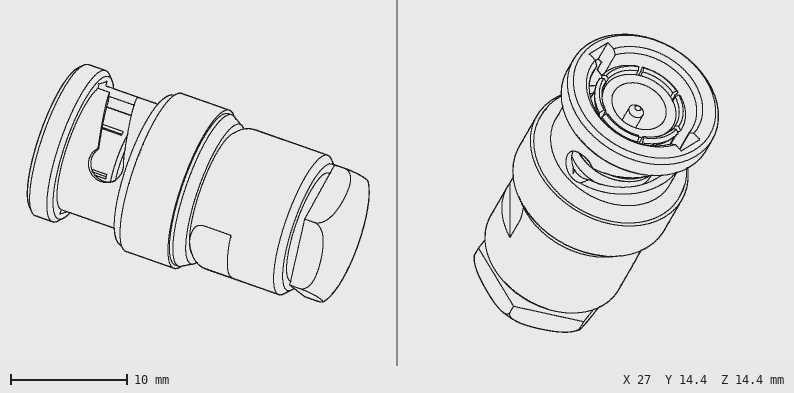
import cadquery as cq
import math


total_length = 26.95
knurl_diameter = 14.4
knurl_radius = knurl_diameter / 2

flange_length = 2.42
flange_radius = 6.9
flange_chamfer = 0.4
sleeve_radius = 5.65
bore_radius = 4.9
bore_chamfer = 0.4
bore_depth = 8.35

collar_front = 8.2
collar_rear = 14.82
collar_radius = flange_radius
collar_fillet = 0.43
collar_rear_radius = 6.35
knurl_front = 9.02
knurl_rear = 13.52
collar_cone_front = 13.85

body_start = 14.55
body_rear = 23.65
body_radius = 6.35
body_front_radius = 5.55
body_rear_chamfer = 0.6
shoulder_radius = 1.54
shoulder_end = 16.25
flat_distance = 5.6
flat_rear = 18.72

neck_radius = 4.93
nut_front = 24.6
nut_across_flats = 11.07
nut_fillet = 1.45

slot_count = 2
keyway_angle = 45.0
keyway_width = 2.37
keyway_reach = 5.93
ramp_slope = 0.26
ramp_front_at_middle = 4.3
ramp_rear_at_middle = 6.74
detent_x = 6.2
detent_radius = 1.55
detent_angle = 132.0

finger_front = 0.84
finger_lip_x = 1.15
finger_lip_end = 1.62
finger_tip_radius = 3.83
finger_lip_radius = 4.15
finger_radius = 4.0
finger_bore_radius = 3.53
finger_funnel_end = 1.02
finger_gap_end = 6.05
finger_count = 6
slit_width = 0.43
root_step_x = 6.55
root_radius = 4.01
groove_front = 6.95
groove_bottom = 7.27
groove_radius = 3.72
bead_end = 7.65
bead_radius = 3.88
bead_rounding = 0.55

insulator_front = 1.4
insulator_radius = 3.37
insulator_bore_radius = 2.48
insulator_bore_end = 8.08
pin_front = 1.7
pin_radius = 0.67
pin_tip_radius = 0.27
pin_cone_end = 2.15


def turned(points):
    """Revolve a closed (x, radius) outline about the X axis."""
    outline = cq.Workplane("XY").polyline(points).close()
    return outline.revolve(360, (0, 0, 0), (1, 0, 0))


def cylinder(x_start, x_end, radius):
    return cq.Workplane("YZ", origin=(x_start, 0, 0)).circle(radius).extrude(x_end - x_start)


def turn_about_axis(solid, angle):
    return solid.rotate((0, 0, 0), (1, 0, 0), angle)


def block(x_start, x_end, y_start, y_end, z_start, z_end):
    corner = (x_start, y_start, z_start)
    return cq.Workplane("XY", origin=corner).box(
        x_end - x_start, y_end - y_start, z_end - z_start, centered=False
    )


def coupling_sleeve():
    flange_face_radius = flange_radius - flange_chamfer
    return turned([
        (0, bore_radius + bore_chamfer),
        (0, flange_face_radius),
        (flange_chamfer, flange_radius),
        (flange_length - flange_chamfer, flange_radius),
        (flange_length, flange_face_radius),
        (flange_length, sleeve_radius),
        (bore_depth, sleeve_radius),
        (bore_depth, bore_radius),
        (bore_chamfer, bore_radius),
    ])


def ramp_prism(front_points, rear_y_start, rear_y_end):
    """Vertical prism above the axis, bounded at the rear by the sloping ramp edge."""
    rear_points = [(ramp_rear_at_middle - ramp_slope * y, y) for y in (rear_y_start, rear_y_end)]
    outline = cq.Workplane("XY").polyline(front_points + rear_points).close()
    return outline.extrude(knurl_radius)


def bayonet_slot():
    half_width = keyway_width / 2
    detent_y = sleeve_radius * math.cos(math.radians(detent_angle))

    keyway = block(0, ramp_rear_at_middle, 0, keyway_reach, -half_width, half_width)
    keyway = turn_about_axis(keyway, keyway_angle)
    keyway = keyway.intersect(ramp_prism([(0, keyway_reach), (0, 0)], 0, keyway_reach))

    ramp_front = [(ramp_front_at_middle - ramp_slope * y, y) for y in (keyway_reach, detent_y)]
    ramp = ramp_prism(ramp_front, detent_y, keyway_reach)
    ramp_side = block(0, bore_depth, -knurl_radius, knurl_radius, -half_width, 2 * knurl_radius)
    ramp = ramp.intersect(turn_about_axis(ramp_side, keyway_angle))

    detent = cq.Workplane("XZ", origin=(detent_x, 0, 0)).circle(detent_radius).extrude(-knurl_radius)
    detent = turn_about_axis(detent, detent_angle)
    return keyway.union(ramp).union(detent)


def collar():
    core = turned([
        (collar_front, 0),
        (collar_front, collar_radius),
        (collar_cone_front, collar_radius),
        (collar_rear, collar_rear_radius),
        (collar_rear, 0),
    ])
    core = core.faces("<X").edges().fillet(collar_fillet)
    return core.union(cylinder(knurl_front, knurl_rear, knurl_radius))


def rear_body():
    arc_drop = shoulder_radius * (1 - math.cos(math.pi / 4))
    arc_start = (shoulder_end - shoulder_radius * math.sin(math.pi / 4), body_radius - arc_drop)
    arc_middle = (
        shoulder_end - shoulder_radius * math.sin(math.pi / 8),
        body_radius - shoulder_radius * (1 - math.cos(math.pi / 8)),
    )
    cone_length = arc_start[1] - body_front_radius
    body = (
        cq.Workplane("XY")
        .moveTo(body_start, 0)
        .lineTo(body_start, body_front_radius)
        .lineTo(arc_start[0] - cone_length, body_front_radius)
        .lineTo(*arc_start)
        .threePointArc(arc_middle, (shoulder_end, body_radius))
        .lineTo(body_rear - body_rear_chamfer, body_radius)
        .lineTo(body_rear, body_radius - body_rear_chamfer)
        .lineTo(body_rear, 0)
        .close()
        .revolve(360, (0, 0, 0), (1, 0, 0))
    )
    for side in (0, 180):
        wrench_flat = block(
            collar_rear, flat_rear, flat_distance, knurl_radius, -knurl_radius, knurl_radius
        )
        body = body.cut(turn_about_axis(wrench_flat, side))
    return body


def clamp_nut():
    corner_radius = nut_across_flats / math.sqrt(3)
    nut_length = total_length - nut_front
    hexagon = cq.Workplane("YZ", origin=(nut_front, 0, 0)).polygon(6, 2 * corner_radius)
    rounded_blank = cylinder(nut_front, total_length, corner_radius).faces(">X").edges().fillet(nut_fillet)
    nut = hexagon.extrude(nut_length).intersect(rounded_blank)
    return nut.union(cylinder(body_rear, nut_front, neck_radius))


def spring_fingers():
    fingers = turned([
        (finger_front, finger_tip_radius),
        (finger_lip_x, finger_lip_radius),
        (finger_lip_end, finger_radius),
        (root_step_x, finger_radius),
        (root_step_x, root_radius),
        (bore_depth, root_radius),
        (bore_depth, finger_bore_radius),
        (finger_funnel_end, finger_bore_radius),
    ])
    groove = (
        cq.Workplane("XY")
        .moveTo(groove_front, root_radius)
        .lineTo(groove_bottom, groove_radius)
        .radiusArc((bead_end, bead_radius), bead_rounding)
        .lineTo(bore_depth, bead_radius)
        .lineTo(bore_depth, root_radius)
        .close()
        .revolve(360, (0, 0, 0), (1, 0, 0))
    )
    fingers = fingers.cut(groove)
    slit_step = 360 / finger_count
    for slit_index in range(finger_count):
        slit = block(0, finger_gap_end, -slit_width / 2, slit_width / 2, 0, bore_radius)
        fingers = fingers.cut(turn_about_axis(slit, slit_index * slit_step))
    return fingers


def insulator_and_pin():
    insulator = cylinder(insulator_front, bore_depth, insulator_radius)
    root = cylinder(finger_gap_end, bore_depth, finger_bore_radius)
    insulator = insulator.union(root)
    insulator = insulator.cut(cylinder(insulator_front, insulator_bore_end, insulator_bore_radius))
    pin = turned([
        (pin_front, 0),
        (pin_front, pin_tip_radius),
        (pin_cone_end, pin_radius),
        (bore_depth, pin_radius),
        (bore_depth, 0),
    ])
    return insulator.union(pin)


sleeve = coupling_sleeve()
for slot_index in range(slot_count):
    sleeve = sleeve.cut(turn_about_axis(bayonet_slot(), slot_index * 360 / slot_count))

shell = collar().cut(cylinder(collar_front, bore_depth, bore_radius))

result = (
    shell
    .union(sleeve)
    .union(rear_body())
    .union(clamp_nut())
    .union(spring_fingers())
    .union(insulator_and_pin())
)